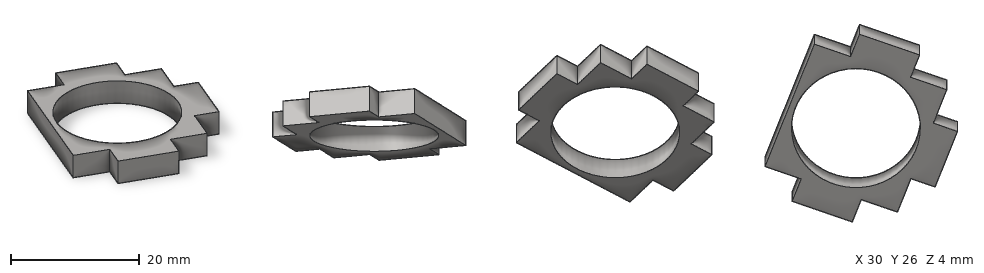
import cadquery as cq

overall_width = 30.0
body_side = 22.0
tab_width = 10.0
thickness = 4.0
bore_diameter = 20.0

tab_length = (overall_width - body_side) / 2
tab_center = (body_side + tab_length) / 2


def plate(size_x, size_y, center_x=0, center_y=0):
    """Flat block of the common thickness, resting on Z = 0."""
    return (
        cq.Workplane("XY")
        .center(center_x, center_y)
        .rect(size_x, size_y)
        .extrude(thickness)
    )


body = plate(body_side, body_side)
side_tabs = plate(overall_width, tab_width)

back_tab = plate(tab_width, tab_length, center_y=tab_center)

bore = cq.Workplane("XY").circle(bore_diameter / 2).extrude(thickness)

result = body.union(side_tabs).union(back_tab).cut(bore)